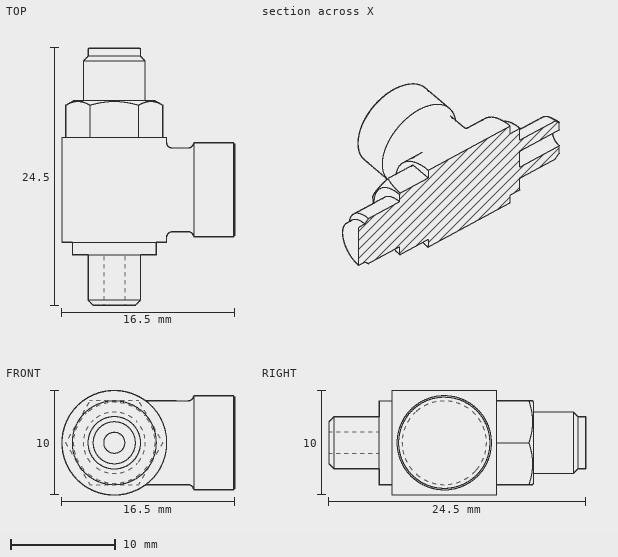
import cadquery as cq
import math

total_length = 24.5
collar_start = 4.8
body_start = 6.0
body_end = 16.0
hex_end = 19.5
tip_start = 23.75

inlet_diameter = 5.0
inlet_chamfer = 0.5
collar_diameter = 8.0
body_diameter = 10.0
stem_diameter = 5.88
tip_diameter = 5.0
tip_edge_radius = 0.1
bore_diameter = 2.0
bore_depth = collar_start

hex_across_flats = 8.0
hex_across_corners = hex_across_flats / math.cos(math.radians(30))
hex_crown_diameter = 7.75
hex_crown_angle = 30.0

branch_y = (body_start + body_end) / 2
branch_diameter = 8.0
branch_root_radius = 0.5
branch_end = 11.5
head_diameter = 9.0
head_start = 7.62
flare_start = 7.05
flare_radius = 0.5
flare_angle = 75.0
head_edge_chamfer = 0.15


def rod(diameter, start, end):
    """Cylinder on the main axis between two Y stations."""
    plane = cq.Plane(origin=(0, start, 0), xDir=(1, 0, 0), normal=(0, 1, 0))
    return cq.Workplane(plane).circle(diameter / 2).extrude(end - start)


def branch_rod(diameter, start, end):
    """Cylinder on the branch axis between two X stations."""
    plane = cq.Plane(origin=(start, branch_y, 0), xDir=(0, 1, 0), normal=(1, 0, 0))
    return cq.Workplane(plane).circle(diameter / 2).extrude(end - start)


def make_body_with_branch():
    """Main barrel with the branch neck blended into it."""
    barrel = rod(body_diameter, body_start, body_end)
    joined = barrel.union(branch_rod(branch_diameter, 0, head_start))
    return joined.edges("not(%LINE or %CIRCLE)").fillet(branch_root_radius)


def make_branch_head():
    """Larger cylindrical head at the end of the branch, with a concave flare and bevel behind it."""
    head_radius = head_diameter / 2
    neck_radius = branch_diameter / 2

    def flare_point(angle):
        turn = math.radians(angle)
        along = flare_start + flare_radius * math.sin(turn)
        outward = neck_radius + flare_radius * (1 - math.cos(turn))
        return (along, outward)

    profile = (
        cq.Workplane("XY")
        .moveTo(flare_start, 0)
        .lineTo(flare_start, neck_radius)
        .threePointArc(flare_point(flare_angle / 2), flare_point(flare_angle))
        .lineTo(head_start, head_radius)
        .lineTo(branch_end - head_edge_chamfer, head_radius)
        .lineTo(branch_end, head_radius - head_edge_chamfer)
        .lineTo(branch_end, 0)
        .close()
    )
    return profile.revolve(360, (0, 0, 0), (1, 0, 0)).translate((0, branch_y, 0))


def make_hexagon():
    """Hexagon whose outer corners are crowned by a cone."""
    plane = cq.Plane(origin=(0, body_end, 0), xDir=(1, 0, 0), normal=(0, 1, 0))
    prism = cq.Workplane(plane).polygon(6, hex_across_corners).extrude(hex_end - body_end)
    corner_radius = hex_across_corners / 2
    crown_radius = hex_crown_diameter / 2
    crown_drop = (corner_radius - crown_radius) * math.tan(math.radians(hex_crown_angle))
    envelope = (
        cq.Workplane("XY")
        .moveTo(0, body_end)
        .lineTo(corner_radius, body_end)
        .lineTo(corner_radius, hex_end - crown_drop)
        .lineTo(crown_radius, hex_end)
        .lineTo(0, hex_end)
        .close()
        .revolve(360, (0, 0, 0), (0, 1, 0))
    )
    return prism.intersect(envelope)


def make_inlet():
    """Inlet spigot with a chamfered tip, and the collar behind it."""
    spigot = rod(inlet_diameter, 0, collar_start).faces("<Y").chamfer(inlet_chamfer)
    return spigot.union(rod(collar_diameter, collar_start, body_start))


def make_stem():
    """Stem beyond the hexagon, stepping down through a chamfer to a short tip."""
    step = (stem_diameter - tip_diameter) / 2
    stem = rod(stem_diameter, hex_end, tip_start).faces(">Y").chamfer(step)
    tip = rod(tip_diameter, tip_start, total_length).faces(">Y").edges().fillet(tip_edge_radius)
    return stem.union(tip)


result = (
    make_body_with_branch()
    .union(make_branch_head())
    .union(make_hexagon())
    .union(make_inlet())
    .union(make_stem())
    .cut(rod(bore_diameter, 0, bore_depth))
    .translate((0, -total_length / 2, 0))
)